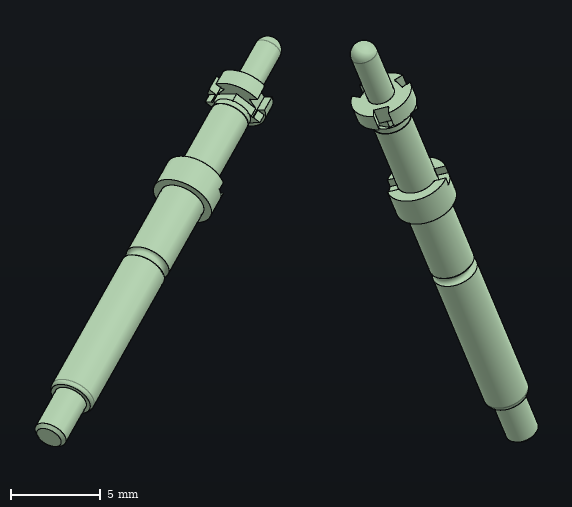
import cadquery as cq

LENGTH = 30.3
TIP_Y = LENGTH / 2

FLANGE_FRONT = 3.95
FLANGE_BACK = 4.97
WEDGE_BACK = 5.55
NECK_BACK = 5.9
COLLAR_FRONT = 10.5
COLLAR_BACK = 12.3
GROOVE_CENTER = 17.3
BODY_BACK = 27.35

PLUNGER_RADIUS = 0.8
DOME_HEIGHT = 0.75
DOME_RADIUS = (PLUNGER_RADIUS**2 + DOME_HEIGHT**2) / (2 * DOME_HEIGHT)
NECK_RADIUS = 1.12
BARREL_RADIUS = 1.15
FLANGE_RADIUS = 1.8
COLLAR_RADIUS = 3.6 / 2
BODY_RADIUS = 1.33
TAIL_RADIUS = 0.97

GROOVE_HALF_WIDTH = 0.3
GROOVE_DEPTH = 0.2
BODY_ROUND_LENGTH = 0.27
BODY_ROUND_DEPTH = 0.12
TAIL_CHAMFER = 0.2

NOTCH_WIDTH = 0.88
NOTCH_FLOOR = 1.18
NOTCH_ANGLES = (30, 150, 270)

WEDGE_HALF_WIDTH = 1.7
WEDGE_HALF_HEIGHT = 1.05

SLOT_WIDTH = 1.03
SLOT_DEPTH = 0.5


def section_plane(distance):
    """Workplane across the axis at a distance from the tip, facing the tail, with Z up."""
    return cq.Workplane(cq.Plane(origin=(0, TIP_Y - distance, 0), xDir=(1, 0, 0), normal=(0, -1, 0)))


def disc(front, back, radius):
    return section_plane(front).circle(radius).extrude(back - front)


def revolve_about_y(outline):
    return outline.close().revolve(360, (0, 0), (0, 1))


def make_plunger():
    """Round pin with a domed tip, running back to the flange."""
    return revolve_about_y(
        cq.Workplane("XY")
        .moveTo(0, TIP_Y - FLANGE_FRONT)
        .lineTo(PLUNGER_RADIUS, TIP_Y - FLANGE_FRONT)
        .lineTo(PLUNGER_RADIUS, TIP_Y - DOME_HEIGHT)
        .radiusArc((0, TIP_Y), -DOME_RADIUS)
    )


def make_flange():
    """Flange and the wedge behind it, with flat-floored notches running through both."""
    flange = disc(FLANGE_FRONT, FLANGE_BACK, FLANGE_RADIUS)
    wedge = (
        section_plane(FLANGE_BACK)
        .polyline([
            (WEDGE_HALF_WIDTH, 0),
            (0, WEDGE_HALF_HEIGHT),
            (-WEDGE_HALF_WIDTH, 0),
            (0, -WEDGE_HALF_HEIGHT),
        ])
        .close()
        .extrude(WEDGE_BACK - FLANGE_BACK)
    )
    head = flange.union(wedge)
    notch_length = WEDGE_BACK - FLANGE_FRONT
    for angle in NOTCH_ANGLES:
        notch = (
            section_plane(FLANGE_FRONT)
            .transformed(rotate=(0, 0, angle))
            .center(NOTCH_FLOOR, 0)
            .rect(FLANGE_RADIUS, NOTCH_WIDTH, centered=(False, True))
            .extrude(notch_length)
        )
        head = head.cut(notch)
    return head


def make_collar():
    """Collar with a cross slot along X in its front face."""
    slot = (
        section_plane(COLLAR_FRONT)
        .rect(2 * COLLAR_RADIUS, SLOT_WIDTH)
        .extrude(SLOT_DEPTH)
    )
    return disc(COLLAR_FRONT, COLLAR_BACK, COLLAR_RADIUS).cut(slot)


def make_body():
    """Main cylinder with a round groove, an eased rear edge and the tail pin behind it."""
    body_end_y = TIP_Y - BODY_BACK
    body = revolve_about_y(
        cq.Workplane("XY")
        .moveTo(0, TIP_Y - COLLAR_BACK)
        .lineTo(BODY_RADIUS, TIP_Y - COLLAR_BACK)
        .lineTo(BODY_RADIUS, body_end_y + BODY_ROUND_LENGTH)
        .tangentArcPoint((BODY_RADIUS - BODY_ROUND_DEPTH, body_end_y), relative=False)
        .lineTo(0, body_end_y)
    )
    groove_y = TIP_Y - GROOVE_CENTER
    groove = revolve_about_y(
        cq.Workplane("XY")
        .moveTo(BODY_RADIUS, groove_y + GROOVE_HALF_WIDTH)
        .threePointArc(
            (BODY_RADIUS - GROOVE_DEPTH, groove_y),
            (BODY_RADIUS, groove_y - GROOVE_HALF_WIDTH),
        )
    )
    tail = disc(BODY_BACK, LENGTH, TAIL_RADIUS).faces("<Y").edges().chamfer(TAIL_CHAMFER)
    return body.cut(groove).union(tail)


neck = disc(WEDGE_BACK, NECK_BACK, NECK_RADIUS)
barrel = disc(NECK_BACK, COLLAR_BACK, BARREL_RADIUS)

result = (
    make_plunger()
    .union(make_flange())
    .union(neck)
    .union(barrel)
    .union(make_collar())
    .union(make_body())
)